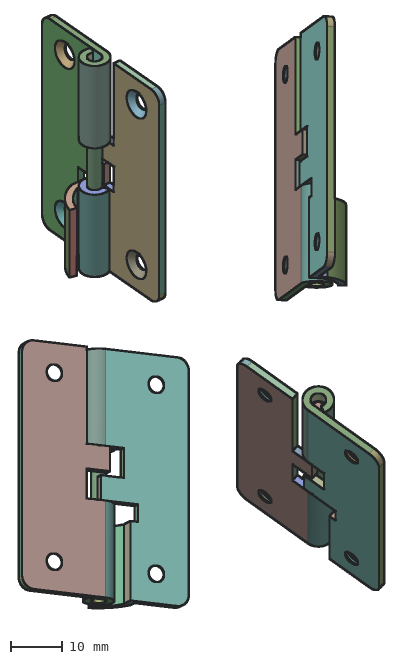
import cadquery as cq
import math

height = 50.0
half_width = 18.0
thickness = 1.6
pin_radius = 1.5
knuckle_radius = pin_radius + thickness
corner_radius = 2.5

knuckle_length = 19.5
tab_height = 5.0
tab_overrun = 1.0
clearance_edge = 4.0
curl_end_angle = 29.0

hole_offset = 11.0
hole_margin = 6.0
hole_diameter = 3.3
sink_diameter = 6.0
sink_angle = 90.0

flap_height = 16.0
flap_edge = 7.0
flap_radius = 9.25
flap_center_x = 1.65
flap_center_y = knuckle_radius
flap_tip_angle = 14.0

pin_recess = 2.5
pin_chamfer = 0.45


def polar(radius, degrees, center_x=0.0, center_y=0.0):
    """Point on a circle at an angle counterclockwise from +X."""
    angle = math.radians(degrees)
    return (center_x + radius * math.cos(angle), center_y + radius * math.sin(angle))


def make_plate(lower_edge):
    """Left plate with its tab; lower_edge is the setback of the edge below the tab."""
    tab_top = knuckle_length + tab_height
    knuckle_bottom = height - knuckle_length
    outline = [
        (-half_width, 0),
        (-lower_edge, 0),
        (-lower_edge, knuckle_length),
        (tab_overrun, knuckle_length),
        (tab_overrun, tab_top),
        (-clearance_edge, tab_top),
        (-clearance_edge, knuckle_bottom),
        (0, knuckle_bottom),
        (0, height),
        (-half_width, height),
    ]
    plate = (
        cq.Workplane("XZ", origin=(0, pin_radius, 0))
        .polyline(outline)
        .close()
        .extrude(-thickness)
    )
    return plate.edges("|Y and <X").fillet(corner_radius)


def make_knuckle():
    """Curl rolled from the plate around the pin, at the top of the leaf."""
    end_angle = 180 - curl_end_angle
    middle_angle = (90 + end_angle - 360) / 2
    return (
        cq.Workplane("XY", origin=(0, 0, height - knuckle_length))
        .moveTo(0, pin_radius)
        .lineTo(0, knuckle_radius)
        .threePointArc(polar(knuckle_radius, middle_angle), polar(knuckle_radius, end_angle))
        .lineTo(*polar(pin_radius, end_angle))
        .threePointArc(polar(pin_radius, middle_angle), (0, pin_radius))
        .close()
        .extrude(knuckle_length)
    )


def cut_screw_holes(leaf):
    """Two holes countersunk from the knuckle side."""
    centers = [(-hole_offset, hole_margin), (-hole_offset, height - hole_margin)]
    return (
        leaf.copyWorkplane(cq.Workplane("XZ", origin=(0, pin_radius, 0)))
        .pushPoints(centers)
        .cskHole(hole_diameter, sink_diameter, sink_angle)
    )


def make_leaf(lower_edge):
    return cut_screw_holes(make_plate(lower_edge).union(make_knuckle()))


def make_flap():
    """Stop flap: straight out of the plate edge, then arched in front of the lower knuckle."""
    inner_radius = flap_radius - thickness
    outer_x = -flap_edge
    inner_x = outer_x + thickness
    tip_angle = 270 - flap_tip_angle

    def arc_start_angle(x, radius):
        return 180 + math.degrees(math.acos((flap_center_x - x) / radius))

    def arc_point(radius, degrees):
        return polar(radius, degrees, flap_center_x, flap_center_y)

    outer_start = arc_start_angle(outer_x, flap_radius)
    inner_start = arc_start_angle(inner_x, inner_radius)
    return (
        cq.Workplane("XY")
        .moveTo(outer_x, knuckle_radius)
        .lineTo(*arc_point(flap_radius, outer_start))
        .threePointArc(
            arc_point(flap_radius, (outer_start + tip_angle) / 2),
            arc_point(flap_radius, tip_angle),
        )
        .lineTo(*arc_point(inner_radius, tip_angle))
        .threePointArc(
            arc_point(inner_radius, (inner_start + tip_angle) / 2),
            arc_point(inner_radius, inner_start),
        )
        .lineTo(inner_x, knuckle_radius)
        .close()
        .extrude(flap_height)
    )


def make_left_leaf():
    return make_leaf(flap_edge).union(make_flap())


def make_right_leaf():
    """Plain leaf turned half a revolution about the Y direction at mid-height."""
    middle = height / 2
    return make_leaf(clearance_edge).rotate((0, 0, middle), (0, 1, middle), 180)


def make_pin():
    return (
        cq.Workplane("XY", origin=(0, 0, pin_recess))
        .circle(pin_radius)
        .extrude(height - 2 * pin_recess)
        .faces("<Z or >Z")
        .chamfer(pin_chamfer)
    )


left_leaf = make_left_leaf()
right_leaf = make_right_leaf()
pin = make_pin()

result = cq.Compound.makeCompound([left_leaf.solids().val(), right_leaf.solids().val(), pin.val()])